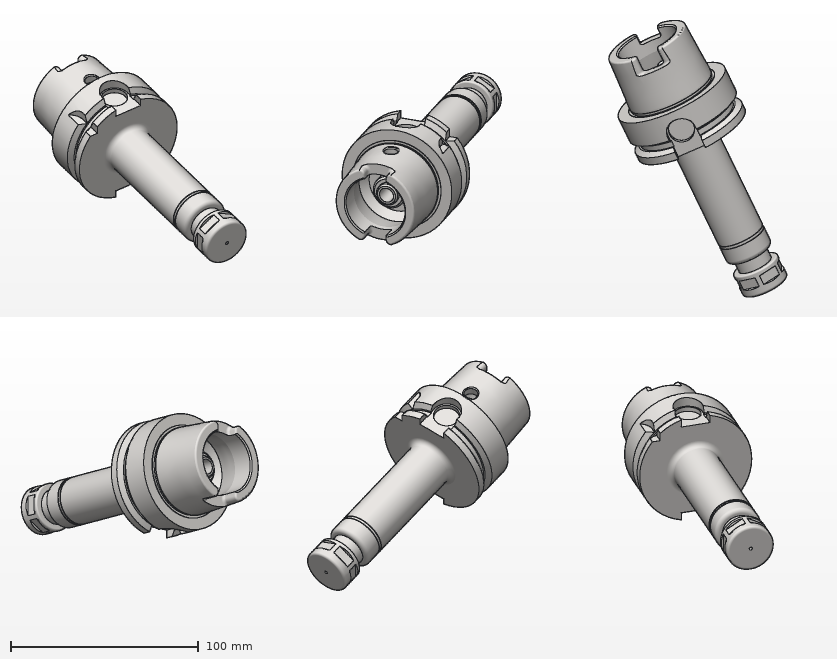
import cadquery as cq
import math


total_length = 152.0

taper_end_x = 29.8
taper_end_radius = 24.0
taper_ratio = 0.1
mouth_rounding = 1.0
neck_x = 30.9
neck_radius = 23.7

flange_x = 31.9
flange_length = 26.0
flange_radius = 31.5
face_recess_radius = 25.2
face_recess_depth = 0.3
groove_floor_radius = 27.2
groove_side_radius = 28.3
groove_start_x = 48.2
groove_end_x = 51.7
groove_side_angle = 30.0

shaft_diameter = 26.0
shaft_root_fillet = 3.0
shaft_end_x = 132.0
shaft_end_rounding = 2.3
ring_groove_x = 120.1
ring_groove_width = 1.7
ring_groove_depth = 0.3
stem_diameter = 19.0

nut_x = 138.8
nut_diameter = 26.0
nut_back_rounding = 0.9
nut_front_rounding = 1.4
nut_flat_count = 6
nut_flat_distance = 11.9
nut_flat_start_x = 141.5
nut_flat_end_x = 146.8
nut_flat_end_slope = 0.4

cavity_radius = 16.9
cavity_mouth_chamfer = 0.8
cavity_straight_depth = 12.8
undercut_x = 26.6
undercut_radius = 19.6
cavity_floor_x = 31.6
cavity_floor_radius = 15.8

tube_nut_x = 19.8
tube_nut_radius = 9.1
tube_nut_chamfer = 1.0
tube_x = 16.7
tube_radius = 6.1
tube_chamfer = 0.9
tube_bore_diameter = 8.0
tube_bore_end_x = 45.6
feed_bore_diameter = 3.5
feed_bore_end_x = 91.2
outlet_diameter = 1.7

notch_half_width = 6.1
notch_straight_height = 18.1
notch_flare_radius = 2.6
notch_floor_fillet = 1.5
top_notch_depth = 6.1
bottom_notch_depth = 9.7

access_hole_x = 23.1
access_hole_diameter = 7.5
access_hole_rim_diameter = 9.3

slot_width = 16.0
slot_end_center_x = 44.7
slot_floor_height = 26.1
pocket_diameter = 14.0
pocket_depth = 2.6
corner_notch_offset = 19.9
corner_notch_end_center_x = 44.1

flange_end_x = flange_x + flange_length
shaft_radius = shaft_diameter / 2
nut_radius = nut_diameter / 2
slot_half_width = slot_width / 2


def taper_radius(x):
    return taper_end_radius - (taper_end_x - x) * taper_ratio / 2


def revolve_about_x(profile):
    return profile.close().revolve(360, (0, 0, 0), (1, 0, 0))


def turned_body():
    groove_slope = (flange_radius - groove_side_radius) * math.tan(math.radians(groove_side_angle))
    ring_groove_end_x = ring_groove_x + ring_groove_width
    ring_groove_radius = shaft_radius - ring_groove_depth

    profile = cq.Workplane("XY").moveTo(0, 0)

    profile = (
        profile.lineTo(0, taper_radius(0))
        .lineTo(taper_end_x, taper_end_radius)
        .lineTo(neck_x, taper_end_radius)
        .lineTo(neck_x, neck_radius)
    )

    profile = (
        profile.lineTo(flange_x + face_recess_depth, neck_radius)
        .lineTo(flange_x + face_recess_depth, face_recess_radius)
        .lineTo(flange_x, face_recess_radius)
        .lineTo(flange_x, flange_radius)
        .lineTo(groove_start_x - groove_slope, flange_radius)
        .lineTo(groove_start_x, groove_side_radius)
        .lineTo(groove_start_x, groove_floor_radius)
        .lineTo(groove_end_x, groove_floor_radius)
        .lineTo(groove_end_x, groove_side_radius)
        .lineTo(groove_end_x + groove_slope, flange_radius)
        .lineTo(flange_end_x, flange_radius)
    )

    profile = (
        profile.lineTo(flange_end_x, shaft_radius + shaft_root_fillet)
        .radiusArc((flange_end_x + shaft_root_fillet, shaft_radius), -shaft_root_fillet)
        .lineTo(ring_groove_x, shaft_radius)
        .lineTo(ring_groove_x, ring_groove_radius)
        .lineTo(ring_groove_end_x, ring_groove_radius)
        .lineTo(ring_groove_end_x, shaft_radius)
        .lineTo(shaft_end_x - shaft_end_rounding, shaft_radius)
        .radiusArc((shaft_end_x, shaft_radius - shaft_end_rounding), shaft_end_rounding)
        .lineTo(shaft_end_x, stem_diameter / 2)
        .lineTo(nut_x, stem_diameter / 2)
    )

    profile = (
        profile.lineTo(nut_x, nut_radius - nut_back_rounding)
        .radiusArc((nut_x + nut_back_rounding, nut_radius), nut_back_rounding)
        .lineTo(total_length - nut_front_rounding, nut_radius)
        .radiusArc((total_length, nut_radius - nut_front_rounding), nut_front_rounding)
        .lineTo(total_length, 0)
    )
    return revolve_about_x(profile)


def cavity():
    """Ring-shaped room between the shank wall and the coolant tube."""
    profile = (
        cq.Workplane("XY")
        .moveTo(0, 0)
        .lineTo(0, cavity_radius + cavity_mouth_chamfer)
        .lineTo(cavity_mouth_chamfer, cavity_radius)
        .lineTo(cavity_straight_depth, cavity_radius)
        .lineTo(undercut_x, undercut_radius)
        .lineTo(cavity_floor_x, cavity_floor_radius)
        .lineTo(cavity_floor_x, tube_nut_radius)
        .lineTo(tube_nut_x + tube_nut_chamfer, tube_nut_radius)
        .lineTo(tube_nut_x, tube_nut_radius - tube_nut_chamfer)
        .lineTo(tube_nut_x, tube_radius)
        .lineTo(tube_x + tube_chamfer, tube_radius)
        .lineTo(tube_x, tube_radius - tube_chamfer)
        .lineTo(tube_x, 0)
    )
    return revolve_about_x(profile)


def coolant_bore():
    def bore(diameter, end_x):
        return cq.Workplane("YZ").circle(diameter / 2).extrude(end_x)

    return (
        bore(tube_bore_diameter, tube_bore_end_x)
        .union(bore(feed_bore_diameter, feed_bore_end_x))
        .union(bore(outlet_diameter, total_length))
    )


def driving_notch(depth):
    """Notch on the +Z side of the mouth with a filleted floor and side walls that flare outward."""
    outer_height = notch_straight_height + notch_flare_radius
    flare_half_width = notch_half_width + notch_flare_radius
    bend = notch_flare_radius * math.sqrt(0.5)
    bend_y = flare_half_width - bend
    bend_z = notch_straight_height + bend
    return (
        cq.Workplane("YZ")
        .moveTo(-notch_half_width, 0)
        .lineTo(notch_half_width, 0)
        .lineTo(notch_half_width, notch_straight_height)
        .threePointArc((bend_y, bend_z), (flare_half_width, outer_height))
        .lineTo(taper_end_radius, outer_height)
        .lineTo(taper_end_radius, flange_radius)
        .lineTo(-taper_end_radius, flange_radius)
        .lineTo(-taper_end_radius, outer_height)
        .lineTo(-flare_half_width, outer_height)
        .threePointArc((-bend_y, bend_z), (-notch_half_width, notch_straight_height))
        .close()
        .extrude(depth)
        .faces(">X")
        .edges()
        .fillet(notch_floor_fillet)
    )


def access_hole():
    rim_height = taper_radius(access_hole_x)
    rim_radius = access_hole_rim_diameter / 2
    hole = (
        cq.Workplane("XY", origin=(access_hole_x, 0, tube_nut_radius))
        .circle(access_hole_diameter / 2)
        .extrude(rim_height)
    )
    tip = cq.Vector(access_hole_x, 0, rim_height - rim_radius)
    countersink = cq.Workplane(cq.Solid.makeCone(0, rim_radius, rim_radius, pnt=tip))
    return hole.union(countersink)


def round_ended_slot(center_x, center_y, floor_height):
    """Slot with a vertical round end, open toward the shaft and above its floor."""
    length = flange_end_x - center_x
    plane = cq.Workplane("XY", origin=(center_x, center_y, floor_height))
    end = plane.circle(slot_half_width).extrude(flange_radius)
    straight = plane.box(length, slot_width, flange_radius, centered=(False, True, False))
    return end.union(straight)


def driving_slot():
    pocket = (
        cq.Workplane("XY", origin=(slot_end_center_x, 0, slot_floor_height - pocket_depth))
        .circle(pocket_diameter / 2)
        .extrude(pocket_depth)
    )
    return round_ended_slot(slot_end_center_x, 0, slot_floor_height).union(pocket)


def nut_flats():
    """Wrench flats with sloped end walls around the collet nut, the first one facing -Y."""
    height = nut_radius - nut_flat_distance
    run = height * nut_flat_end_slope
    flat = (
        cq.Workplane("XY")
        .moveTo(nut_flat_start_x, -nut_flat_distance)
        .lineTo(nut_flat_end_x, -nut_flat_distance)
        .lineTo(nut_flat_end_x + run, -nut_radius)
        .lineTo(nut_flat_start_x - run, -nut_radius)
        .close()
        .extrude(nut_radius, both=True)
    )
    flats = cq.Workplane("XY")
    for index in range(nut_flat_count):
        flats = flats.union(flat.rotate((0, 0, 0), (1, 0, 0), index * 360 / nut_flat_count))
    return flats


def opposite(tool):
    return tool.rotate((0, 0, 0), (1, 0, 0), 180)


corner_notch = round_ended_slot(
    corner_notch_end_center_x, -corner_notch_offset - slot_half_width, corner_notch_offset
)

notched_body = (
    turned_body()
    .cut(driving_notch(top_notch_depth))
    .cut(opposite(driving_notch(bottom_notch_depth)))
    .faces("<X")
    .edges()
    .fillet(mouth_rounding)
)

result = (
    notched_body.cut(cavity())
    .cut(coolant_bore())
    .cut(access_hole())
    .cut(driving_slot())
    .cut(opposite(driving_slot()))
    .cut(corner_notch)
    .cut(nut_flats())
)